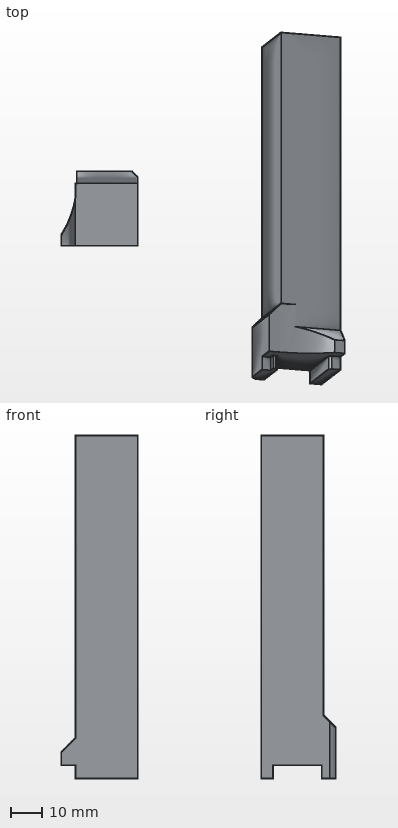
import cadquery as cq
import math

length = 110.0
shank = 20.0

jaw_overhang = 4.5
jaw_tip_width = 3.5
jaw_bottom = 4.3
jaw_lip_top = 8.5
back_overhang = 4.0
head_top = 20.4
back_corner_chamfer = 2.0

back_inset = 0.4
arc_end_y = 20.5
arc_width = arc_end_y - jaw_tip_width
arc_depth = jaw_overhang + back_inset
arc_radius = (arc_width**2 + arc_depth**2) / (2 * arc_depth)

front_foot_width = 3.8
front_foot_land = 3.0
front_foot_flare = 0.7
back_foot_start = 19.4
back_foot_bevel = 0.8
back_foot_nose_end = 21.0
back_foot_nose_x = 5.2
back_foot_land_x = 7.7

back_y = shank + back_overhang


def extrude_up(points, bottom, top):
    """Extrude a plan outline between two heights."""
    return cq.Workplane("XY").workplane(offset=bottom).polyline(points).close().extrude(top - bottom)


def make_jaw_blank():
    """Hooked front profile, running the full shank width before the arc is cut."""
    profile = [
        (0, jaw_bottom),
        (-jaw_overhang, jaw_bottom),
        (-jaw_overhang, jaw_lip_top),
        (0, jaw_lip_top + jaw_overhang),
        (shank, jaw_lip_top + jaw_overhang),
        (shank, jaw_bottom),
    ]
    return cq.Workplane("XZ").polyline(profile).close().extrude(-shank)


def make_back_block():
    """Block behind the shank with a 45 degree top and one bevelled corner."""
    profile = [
        (shank / 2, 0),
        (back_y, 0),
        (back_y, head_top - back_overhang),
        (shank, head_top),
        (shank / 2, head_top),
    ]
    block = cq.Workplane("YZ").polyline(profile).close().extrude(shank)
    corner = [
        (shank - back_corner_chamfer, back_y),
        (shank, back_y),
        (shank, back_y - back_corner_chamfer),
    ]
    return block.cut(extrude_up(corner, 0, head_top))


def make_clearance():
    """Space outside the concave face, which ends tangent to the flat back inset."""
    half_angle = math.asin(arc_width / arc_radius) / 2
    arc_middle = (
        back_inset - arc_radius * (1 - math.cos(half_angle)),
        arc_end_y - arc_radius * math.sin(half_angle),
    )
    return (
        cq.Workplane("XY")
        .moveTo(-jaw_overhang, jaw_tip_width)
        .threePointArc(arc_middle, (back_inset, arc_end_y))
        .lineTo(back_inset, back_y)
        .lineTo(-jaw_overhang, back_y)
        .close()
        .extrude(head_top)
    )


def make_channel():
    """Underside channel that also opens to +Y, where the back foot is set in from -X."""
    outline = [
        (0, front_foot_land),
        (front_foot_flare, front_foot_width),
        (shank, front_foot_width),
        (shank, back_foot_start),
        (back_foot_nose_x + back_foot_bevel, back_foot_start),
        (back_foot_nose_x, back_foot_start + back_foot_bevel),
        (back_foot_nose_x, back_foot_nose_end),
        (back_foot_land_x, back_foot_nose_end),
        (back_foot_land_x, back_y),
        (0, back_y),
    ]
    return extrude_up(outline, 0, jaw_bottom)


result = (
    cq.Workplane("XY")
    .box(shank, shank, length, centered=False)
    .union(make_jaw_blank())
    .union(make_back_block())
    .cut(make_clearance())
    .cut(make_channel())
)